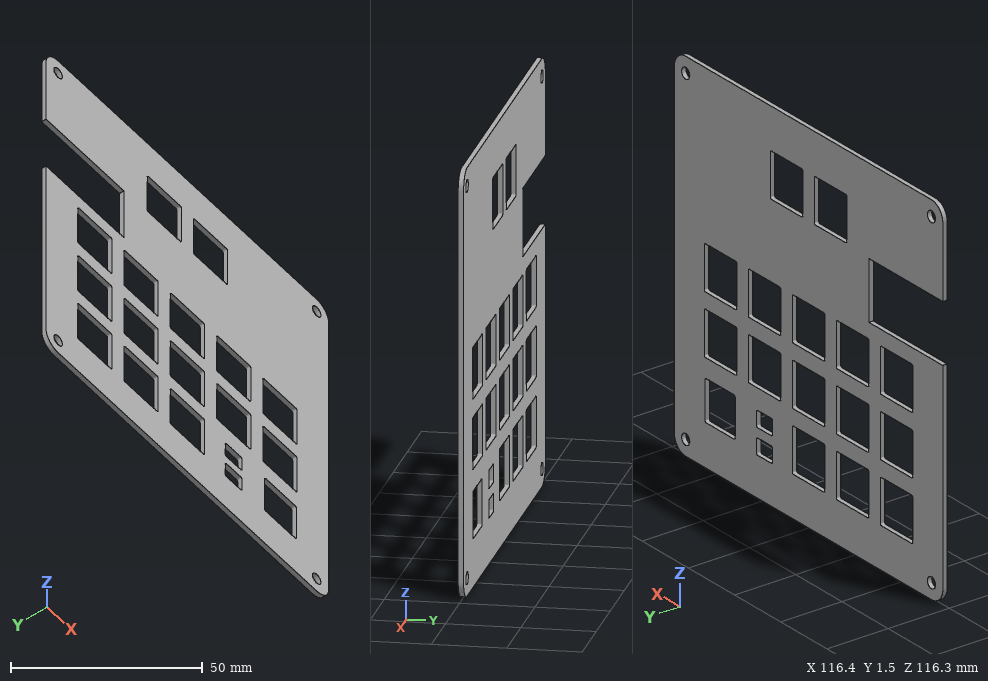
import cadquery as cq

plate_width = 116.4
plate_height = 116.3
plate_thickness = 1.5
plate_corner_radius = 5.0

screw_hole_diameter = 3.4
screw_hole_spacing = 106.4

opening_corner_radius = 0.5

key_pitch = 19.05
key_size = 14.0
full_rows = (0, -1)
full_row_columns = (-2, -1, 0, 1, 2)
bottom_row = -2
bottom_row_columns = (-2, -1, 0)
top_pair_row = 2
top_pair_columns = (-0.5, 0.5)

corner_opening_width = 13.0
corner_opening_height = 12.8
corner_opening_x = 38.3
corner_opening_z = -38.5

small_opening_width = 6.8
small_opening_height = 5.0
small_opening_x = key_pitch
small_opening_z = -39.1
small_opening_spacing = 8.0

notch_depth = 32.0
notch_bottom = 11.9
notch_top = 30.4


def rectangle_cutter(x, z, width, height, corner_radius=0):
    """Block through the plate, centred at (x, z), with optional rounded corners."""
    block = cq.Workplane("XY").box(width, 2 * plate_thickness, height)
    if corner_radius:
        block = block.edges("|Y").fillet(corner_radius)
    return block.translate((x, 0, z))


def make_plate():
    plate = cq.Workplane("XY").box(plate_width, plate_thickness, plate_height)
    return plate.edges("|Y").fillet(plate_corner_radius)


def cut_screw_holes(plate):
    return (
        plate.faces("<Y")
        .workplane(centerOption="CenterOfBoundBox")
        .rect(screw_hole_spacing, screw_hole_spacing, forConstruction=True)
        .vertices()
        .hole(screw_hole_diameter)
    )


def cut_key_row(plate, row, columns):
    for column in columns:
        x = column * key_pitch
        z = row * key_pitch
        plate = plate.cut(rectangle_cutter(x, z, key_size, key_size, opening_corner_radius))
    return plate


def cut_key_openings(plate):
    plate = cut_key_row(plate, top_pair_row, top_pair_columns)
    for row in full_rows:
        plate = cut_key_row(plate, row, full_row_columns)
    return cut_key_row(plate, bottom_row, bottom_row_columns)


def cut_corner_opening(plate):
    cutter = rectangle_cutter(
        corner_opening_x, corner_opening_z, corner_opening_width, corner_opening_height, opening_corner_radius
    )
    return plate.cut(cutter)


def cut_small_openings(plate):
    for side in (-1, 1):
        z = small_opening_z + side * small_opening_spacing / 2
        cutter = rectangle_cutter(
            small_opening_x, z, small_opening_width, small_opening_height, opening_corner_radius
        )
        plate = plate.cut(cutter)
    return plate


def cut_notch(plate):
    z = (notch_bottom + notch_top) / 2
    cutter = rectangle_cutter(-plate_width / 2, z, 2 * notch_depth, notch_top - notch_bottom)
    return plate.cut(cutter)


result = make_plate()
result = cut_screw_holes(result)
result = cut_key_openings(result)
result = cut_corner_opening(result)
result = cut_small_openings(result)
result = cut_notch(result)